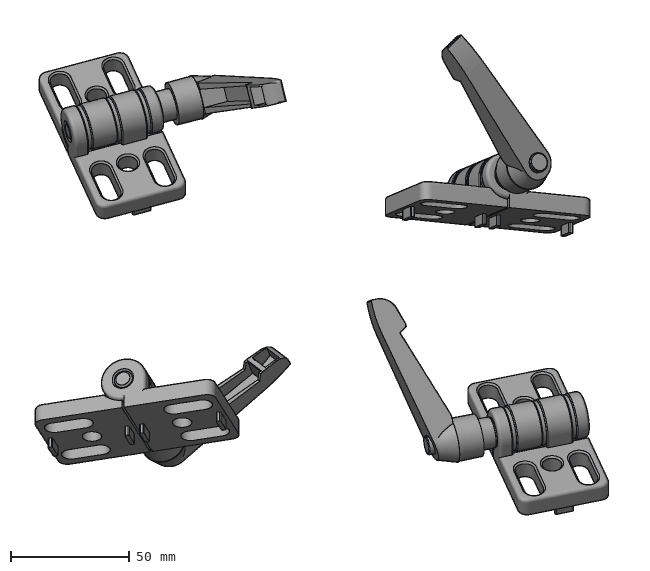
import cadquery as cq
import math


leaf_reach = 40.0
half_depth = 20.0
leaf_top = -6.0
leaf_bottom = -14.05
leaf_thick = leaf_top - leaf_bottom
leaf_gap = 1.0
corner_radius = 4.0
edge_round = 1.5

knuckle_radius = 10.0
knuckle_chamfer = 0.5
clearance_radius = 10.5
end_knuckle = 6.0
washer_thick = 1.6
washer_radius = 9.6
bore_diameter = 8.0
bore_chamfer = 0.7
pin_chamfer = 0.9

washer_offset = half_depth - end_knuckle - washer_thick / 2
washer_centers = (-washer_offset, 0, washer_offset)
inner_face = washer_thick / 2
inner_end = washer_offset - washer_thick / 2
outer_face = washer_offset + washer_thick / 2

hole_diameter = 8.3
hole_chamfer = 0.8
hole_x = 20.0
slot_travel = 13.0
slot_y = 12.0
lug_thick = 2.0
lug_width = 8.2
lug_height = 4.45
lug_chamfer = 0.45
lug_positions = (3.3, 37.35)

neck_diameter = 13.5
relief_diameter = 13.0
relief_length = 0.6

hub_start = 26.8
shoulder_y = 37.7
hub_start_radius = 9.25
hub_shoulder_radius = 9.3
cone_base_radius = 9.6
cone_top_y = 45.9
cone_top_radius = 7.1
boss_diameter = 8.3
boss_top = 49.6
boss_chamfer = 0.45

lever_angle = 45
lever_length = 64.9
root_half_width = cone_top_radius
tip_half_width = 4.6
back_rise = 0.238
back_y = 47.7
back_flat_y = 61.0
back_blend = 6.2
belly_start = (10.1, shoulder_y)
belly_end = (48.8, 51.8)
nose_y = 48.6
nose_start = (50.9, nose_y)
nose_lip = (52.1, nose_y)
nose_arc_start = (59.8, 51.05)
nose_arc_middle = (63.2, 53.7)
nose_arc_end_y = 58.9
pocket_half_width = 4.0
pocket_mouth_y = nose_y
pocket_wall = 2.0
long_pocket_start = belly_start[0]
long_pocket_end = 50.9
grip_pocket_start = 55.3
grip_pocket_end = 61.6
pocket_draft = 0.9
grip_floor_start_y = 59.0
grip_floor_end_y = 58.1
grip_floor_sag = 0.3
tip_chamfer = 0.45
tip_round = 0.7


def cylinder_along_y(radius, y_start, y_end):
    """Solid cylinder on the hinge axis between two Y positions."""
    return cq.Workplane("XZ", origin=(0, y_start, 0)).circle(radius).extrude(y_start - y_end)


def box_between(low, high):
    """Axis-aligned box from its two extreme corners."""
    size = [b - a for a, b in zip(low, high)]
    return cq.Workplane("XY").box(*size, centered=False).translate(low)


def knuckle(y_start, y_end):
    """Knuckle on the +X side: a drum with a flat-sided foot that runs down into the leaf."""
    drum = cylinder_along_y(knuckle_radius, y_start, y_end)
    foot = box_between((leaf_gap / 2, y_start, leaf_bottom), (knuckle_radius, y_end, 0))
    for end, side in ((y_start, "<Y"), (y_end, ">Y")):
        if abs(end) == half_depth:
            drum = drum.faces(side).edges().fillet(edge_round)
            foot = foot.faces(side).edges(">X").fillet(edge_round)
        else:
            drum = drum.faces(side).edges().chamfer(knuckle_chamfer)
            foot = foot.faces(side).edges(">X").chamfer(knuckle_chamfer)
    return drum.union(foot)


def fixing_cutters():
    """Two slots and one round hole, each with a countersunk rim, as one tool."""
    slot_x = hole_x + slot_travel / 2

    def openings(z, growth):
        width = hole_diameter + 2 * growth
        plane = cq.Workplane("XY", origin=(0, 0, z))
        slots = plane.pushPoints([(slot_x, -slot_y), (slot_x, slot_y)]).slot2D(slot_travel + width, width)
        return slots.moveTo(hole_x, 0).circle(width / 2)

    through = openings(leaf_bottom, 0).extrude(leaf_thick)
    rims = openings(leaf_top, hole_chamfer).extrude(-hole_chamfer, taper=45)
    return through.union(rims)


def lug(x):
    """Locating lug under a leaf."""
    block = cq.Workplane("XY").box(lug_thick, lug_width, lug_height, centered=(True, True, False))
    block = block.edges("|Z").chamfer(lug_chamfer)
    return block.translate((x, 0, leaf_bottom - lug_height))


def leaf():
    """Leaf on the +X side, with knuckles at the -Y end and just beyond the middle washer."""
    plate = box_between((leaf_gap / 2, -half_depth, leaf_bottom), (leaf_reach, half_depth, leaf_top))
    plate = plate.edges("|Z and >X").fillet(corner_radius)
    plate = plate.faces(">Z").edges("not <X").fillet(edge_round)
    plate = plate.cut(fixing_cutters())
    plate = plate.cut(cylinder_along_y(clearance_radius, -half_depth, half_depth))
    plate = plate.union(knuckle(-half_depth, -outer_face))
    plate = plate.union(knuckle(inner_face, inner_end))
    plate = plate.cut(cylinder_along_y(bore_diameter / 2, -half_depth, half_depth))
    for x in lug_positions:
        plate = plate.union(lug(x))
    return plate


def bore_countersink():
    """Cone that opens the bore at the -Y end of the barrel."""
    mouth = bore_diameter / 2 + bore_chamfer
    return cq.Workplane("XZ", origin=(0, -half_depth, 0)).circle(mouth).extrude(-bore_chamfer, taper=45)


def washer(y_center):
    """Friction washer between two knuckles."""
    start = y_center - washer_thick / 2
    end = y_center + washer_thick / 2
    return cylinder_along_y(washer_radius, start, end).cut(cylinder_along_y(bore_diameter / 2, start, end))


def hinge_pin():
    """Pin through the whole barrel, with a thicker neck between the barrel and the lever."""
    pin = cylinder_along_y(bore_diameter / 2, -half_depth, hub_start)
    pin = pin.faces("<Y").edges().chamfer(pin_chamfer)
    relief = cylinder_along_y(relief_diameter / 2, half_depth, half_depth + relief_length)
    neck = cylinder_along_y(neck_diameter / 2, half_depth + relief_length, hub_start)
    return pin.union(relief).union(neck)


def lever_hub():
    """Turned hub of the lever: barrel, cone and the round pad around the boss."""
    outline = [
        (0, hub_start),
        (hub_start_radius, hub_start),
        (hub_shoulder_radius, shoulder_y),
        (cone_base_radius, shoulder_y),
        (cone_top_radius, cone_top_y),
        (cone_top_radius, boss_top),
        (0, boss_top),
    ]
    hub = cq.Workplane("XY").polyline(outline).close().revolve(360, (0, 0, 0), (0, 1, 0))
    slope_reach = 2 * cone_top_radius
    above_back = (
        cq.Workplane("XY")
        .polyline([
            (-slope_reach, back_y - slope_reach * back_rise),
            (slope_reach, back_y + slope_reach * back_rise),
            (slope_reach, 2 * boss_top),
            (-slope_reach, 2 * boss_top),
        ])
        .close()
        .extrude(slope_reach, both=True)
    )
    return hub.cut(above_back)


def lever_boss():
    """Chamfered round button that stands out of the outer face, on the hinge axis."""
    boss = cylinder_along_y(boss_diameter / 2, cone_top_y, boss_top)
    return boss.faces(">Y").edges().chamfer(boss_chamfer)


def lever_arm():
    """Tapered arm along +X, before the lever is turned about the hinge axis."""
    back_corner = (back_flat_y - back_y) / back_rise
    blend_angle = math.atan(back_rise)
    blend_end = (
        back_corner - back_blend * math.cos(blend_angle),
        back_flat_y - back_blend * math.sin(blend_angle),
    )
    profile = (
        cq.Workplane("XY")
        .moveTo(0, shoulder_y)
        .lineTo(*belly_start)
        .lineTo(*belly_end)
        .lineTo(*nose_start)
        .lineTo(*nose_lip)
        .lineTo(*nose_arc_start)
        .threePointArc(nose_arc_middle, (lever_length, nose_arc_end_y))
        .lineTo(lever_length, back_flat_y - tip_chamfer)
        .lineTo(lever_length - tip_chamfer, back_flat_y)
        .lineTo(back_corner + back_blend, back_flat_y)
        .tangentArcPoint(blend_end, relative=False)
        .lineTo(0, back_y)
        .close()
        .extrude(root_half_width, both=True)
    )
    plan = (
        cq.Workplane("XZ", origin=(0, shoulder_y, 0))
        .polyline([
            (0, -root_half_width),
            (lever_length, -tip_half_width),
            (lever_length, tip_half_width),
            (0, root_half_width),
        ])
        .close()
        .extrude(shoulder_y - 2 * back_flat_y)
        .edges("|Y and >X")
        .fillet(tip_round)
    )
    arm = profile.intersect(plan)
    return arm.cut(long_pocket()).cut(grip_pocket())


def long_pocket():
    """Channel along the underside, with a floor parallel to the outer face."""
    floor_start_y = back_y + long_pocket_start * back_rise - pocket_wall
    floor_end_y = back_y + long_pocket_end * back_rise - pocket_wall
    return (
        cq.Workplane("XY")
        .moveTo(long_pocket_start, hub_start)
        .lineTo(long_pocket_end + pocket_draft, hub_start)
        .lineTo(long_pocket_end + pocket_draft, pocket_mouth_y)
        .lineTo(long_pocket_end, floor_end_y)
        .lineTo(long_pocket_start, floor_start_y)
        .close()
        .extrude(pocket_half_width, both=True)
    )


def grip_pocket():
    """Short pocket in the nose, with a hollow, curved floor."""
    middle_x = (grip_pocket_start + grip_pocket_end) / 2
    middle_y = (grip_floor_start_y + grip_floor_end_y) / 2 + grip_floor_sag
    return (
        cq.Workplane("XY")
        .moveTo(grip_pocket_start - pocket_draft, pocket_mouth_y)
        .lineTo(grip_pocket_end + pocket_draft, pocket_mouth_y)
        .lineTo(grip_pocket_end, grip_floor_end_y)
        .threePointArc((middle_x, middle_y), (grip_pocket_start, grip_floor_start_y))
        .close()
        .extrude(pocket_half_width, both=True)
    )


def clamping_lever():
    """Hub, arm and boss as one solid, turned to the clamping angle."""
    lever = lever_hub().union(lever_arm()).union(lever_boss())
    return lever.rotate((0, 0, 0), (0, 1, 0), -lever_angle)


right_leaf = leaf().cut(bore_countersink())
left_leaf = leaf().rotate((0, 0, 0), (0, 0, 1), 180)
washers = [washer(y) for y in washer_centers]
pin = hinge_pin()
lever = clamping_lever()

result = cq.Compound.makeCompound([
    right_leaf.val(),
    left_leaf.val(),
    *[ring.val() for ring in washers],
    pin.val(),
    lever.val(),
])